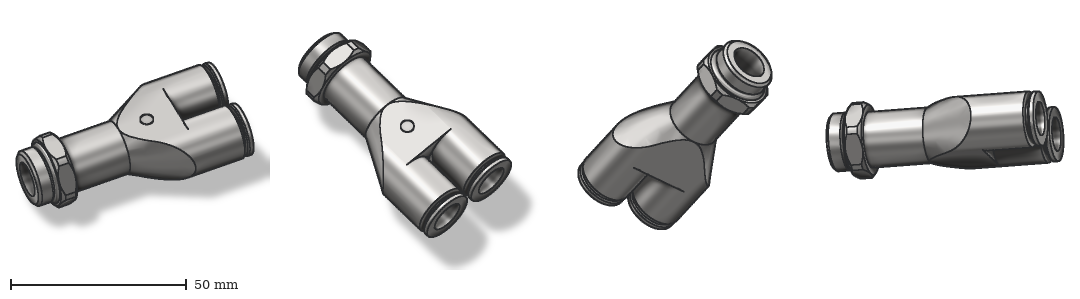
import cadquery as cq

total_length = 63.5

thread_radius = 8.3
thread_chamfer = 0.8
thread_length = 5.1
bore_radius = 5.1

collar_radius = 9.15
collar_rounding = 0.8
hex_start = 6.0
hex_end = 11.05
hex_across_flats = 20.0
hex_corner_radius = 11.0
hex_turn = 30

body_radius = 8.0
leg_offset = 8.5
shoulder_start = 28.6
shoulder_end = 45.2
web_end = 46.55
leg_end = 60.6

recess_radius = 1.9
recess_depth = 0.3
recess_centre = 37.45

collet_neck_radius = 5.6
collet_flange_radius = 7.8
collet_flange_thickness = 1.65
collet_bevel = 0.45
collet_rim_taper = 0.05

branch_start = 37.7
branch_end = 53.1
tube_bore_radius = 4.8

leg_centres = (-leg_offset, leg_offset)


def cylinder(radius, start, end, x=0.0):
    """Cylinder parallel to Y between two Y positions."""
    return cq.Workplane("XZ", origin=(x, start, 0)).circle(radius).extrude(start - end)


def turned(profile, x=0.0):
    """Solid turned about an axis parallel to Y from (radius, Y) points; the axis closes it."""
    points = [(0, profile[0][1]), *profile, (0, profile[-1][1])]
    return cq.Workplane("XY", origin=(x, 0, 0)).polyline(points).close().revolve(360, (0, 0), (0, 1))


def threaded_end():
    small_radius = thread_radius - thread_chamfer
    return turned([
        (small_radius, 0),
        (thread_radius, thread_chamfer),
        (thread_radius, thread_length - thread_chamfer),
        (small_radius, thread_length),
    ])


def sealing_collar():
    return cylinder(collar_radius, thread_length, hex_start).faces("<Y").edges().fillet(collar_rounding)


def hexagon():
    """Hexagon with flats facing +Z and -Z, its corners turned round and chamfered at both ends."""
    prism = (
        cq.Workplane("XZ", origin=(0, hex_start, 0))
        .polygon(6, hex_across_flats, circumscribed=True)
        .extrude(hex_start - hex_end)
        .rotate((0, 0, 0), (0, 1, 0), hex_turn)
    )
    chamfer = hex_corner_radius - hex_across_flats / 2
    blank = cylinder(hex_corner_radius, hex_start, hex_end).faces("<Y or >Y").edges().chamfer(chamfer)
    return prism.intersect(blank)


def forked_body():
    """Stem, and two legs joined by a flat web, trimmed by a conical shoulder."""
    fork = (
        cq.Workplane("XY")
        .box(2 * leg_offset, web_end - shoulder_start, 2 * body_radius)
        .translate((0, (web_end + shoulder_start) / 2, 0))
    )
    for x in leg_centres:
        fork = fork.union(cylinder(body_radius, shoulder_start, leg_end, x))
    cone_slope = leg_offset / (shoulder_end - shoulder_start)
    cone_end_radius = body_radius + cone_slope * (leg_end - shoulder_start)
    envelope = turned([(body_radius, shoulder_start), (cone_end_radius, leg_end)])
    return fork.intersect(envelope).union(cylinder(body_radius, hex_end, shoulder_start))


def collet(x):
    flange_start = total_length - collet_flange_thickness
    return turned([
        (collet_neck_radius, leg_end),
        (collet_neck_radius, flange_start),
        (collet_flange_radius - collet_bevel, flange_start),
        (collet_flange_radius, flange_start + collet_bevel),
        (collet_flange_radius, total_length - collet_bevel),
        (collet_flange_radius - collet_rim_taper, total_length),
    ], x)


def web_recess():
    floor = body_radius - recess_depth
    return cq.Workplane("XY", origin=(0, recess_centre, floor)).circle(recess_radius).extrude(recess_depth)


def branch_passage(x):
    """Slanted passage from the stem bore to a leg, continuing as the tube bore."""
    slanted = cq.Workplane(
        cq.Solid.makeLoft([
            cq.Wire.makeCircle(bore_radius, cq.Vector(0, branch_start, 0), cq.Vector(0, 1, 0)),
            cq.Wire.makeCircle(tube_bore_radius, cq.Vector(x, branch_end, 0), cq.Vector(0, 1, 0)),
        ], True)
    )
    return slanted.union(cylinder(tube_bore_radius, branch_end, total_length, x))


result = threaded_end().union(sealing_collar()).union(hexagon()).union(forked_body())
for x in leg_centres:
    result = result.union(collet(x))

result = result.cut(web_recess())
result = result.cut(cylinder(bore_radius, 0, branch_start))
for x in leg_centres:
    result = result.cut(branch_passage(x))